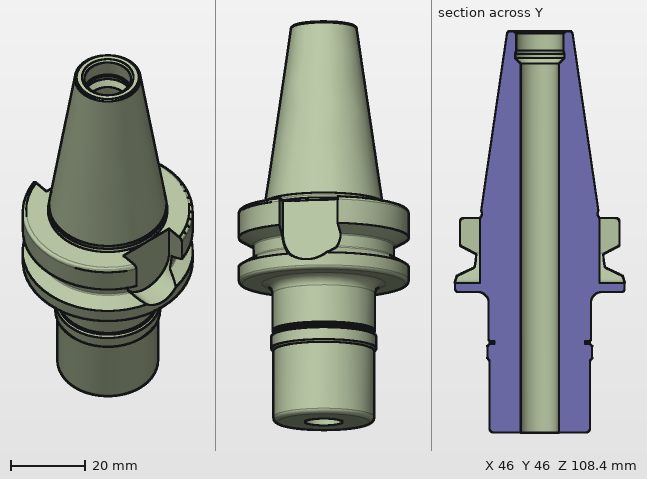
import cadquery as cq

TOTAL_LENGTH = 108.4
FLANGE_BOTTOM = 37.9
FLANGE_TOP = 58.0
GAUGE_HEIGHT = 60.0

GAUGE_RADIUS = 31.8 / 2
TAPER_PER_LENGTH = 7 / 24
TAPER_TIP_CHAMFER = 0.4
RELIEF_RADIUS = 15.7
RELIEF_TOP = 59.4
RELIEF_BOTTOM = 58.8
RELIEF_FOOT_RADIUS = 16.2

FLANGE_RADIUS = 23.0
FLANGE_EDGE_RADIUS = 1.0
GROOVE_RADIUS = 19.0
GROOVE_FLOOR_BOTTOM = 44.7
GROOVE_FLOOR_TOP = 48.2
GROOVE_FLANK_RISE = 2.3
GROOVE_FILLET = 0.4

SHANK_RADIUS = 13.9
SHANK_BOTTOM = 24.7
SHANK_CHAMFER = 0.3
SHANK_FILLET = 2.8
NECK_RADIUS = 12.2
RING_RADIUS = 14.2
RING_TOP = 24.1
RING_BOTTOM = 19.5
RING_CHAMFER = 0.7
NOSE_RADIUS = 13.7
NOSE_EDGE_RADIUS = 1.3

SLOT_WIDTH = 16.0
SLOT_FLOOR_X = 16.2
SLOT_BOTTOM = 40.5

BORE_RADIUS = 10.2 / 2
COUNTERBORE_RADIUS = 6.3
COUNTERBORE_DEPTH = 5.2
COUNTERBORE_CHAMFER = 0.7
UNDERCUT_RADIUS = 6.6
UNDERCUT_FLARE_LENGTH = 1.0
UNDERCUT_WALL_LENGTH = 1.1


def turned_body():
    """Outside of the holder, revolved from its half profile."""
    tip_radius = GAUGE_RADIUS - (TOTAL_LENGTH - GAUGE_HEIGHT) * TAPER_PER_LENGTH / 2
    chamfer_radius = tip_radius + TAPER_TIP_CHAMFER * TAPER_PER_LENGTH / 2
    profile = (
        cq.Workplane("XZ")
        .moveTo(0, 0)
        .lineTo(NOSE_RADIUS - NOSE_EDGE_RADIUS, 0)
        .radiusArc((NOSE_RADIUS, NOSE_EDGE_RADIUS), -NOSE_EDGE_RADIUS)
        .lineTo(NOSE_RADIUS, RING_BOTTOM)
        .lineTo(RING_RADIUS, RING_BOTTOM + RING_CHAMFER)
        .lineTo(RING_RADIUS, RING_TOP - RING_CHAMFER)
        .lineTo(RING_RADIUS - RING_CHAMFER, RING_TOP)
        .lineTo(NECK_RADIUS, RING_TOP)
        .lineTo(NECK_RADIUS, SHANK_BOTTOM)
        .lineTo(SHANK_RADIUS - SHANK_CHAMFER, SHANK_BOTTOM)
        .lineTo(SHANK_RADIUS, SHANK_BOTTOM + SHANK_CHAMFER)
        .lineTo(SHANK_RADIUS, FLANGE_BOTTOM - SHANK_FILLET)
        .radiusArc((SHANK_RADIUS + SHANK_FILLET, FLANGE_BOTTOM), SHANK_FILLET)
        .lineTo(FLANGE_RADIUS - FLANGE_EDGE_RADIUS, FLANGE_BOTTOM)
        .radiusArc((FLANGE_RADIUS, FLANGE_BOTTOM + FLANGE_EDGE_RADIUS), -FLANGE_EDGE_RADIUS)
        .lineTo(FLANGE_RADIUS, GROOVE_FLOOR_BOTTOM - GROOVE_FLANK_RISE)
        .lineTo(GROOVE_RADIUS, GROOVE_FLOOR_BOTTOM)
        .lineTo(GROOVE_RADIUS, GROOVE_FLOOR_TOP)
        .lineTo(FLANGE_RADIUS, GROOVE_FLOOR_TOP + GROOVE_FLANK_RISE)
        .lineTo(FLANGE_RADIUS, FLANGE_TOP - FLANGE_EDGE_RADIUS)
        .radiusArc((FLANGE_RADIUS - FLANGE_EDGE_RADIUS, FLANGE_TOP), -FLANGE_EDGE_RADIUS)
        .lineTo(RELIEF_FOOT_RADIUS, FLANGE_TOP)
        .lineTo(RELIEF_RADIUS, RELIEF_BOTTOM)
        .lineTo(RELIEF_RADIUS, RELIEF_TOP)
        .lineTo(GAUGE_RADIUS, GAUGE_HEIGHT)
        .lineTo(chamfer_radius, TOTAL_LENGTH - TAPER_TIP_CHAMFER)
        .lineTo(tip_radius - TAPER_TIP_CHAMFER, TOTAL_LENGTH)
        .lineTo(0, TOTAL_LENGTH)
        .close()
    )
    body = profile.revolve(360, (0, 0, 0), (0, 1, 0))
    groove_corners = cq.selectors.BoxSelector(
        (-GROOVE_FILLET, -GROOVE_FILLET, GROOVE_FLOOR_BOTTOM - GROOVE_FILLET),
        (GROOVE_FILLET, GROOVE_FILLET, GROOVE_FLOOR_TOP + GROOVE_FILLET),
    )
    return body.edges(groove_corners).fillet(GROOVE_FILLET)


def bore():
    """Through bore with a chamfered counterbore and a conical-ended undercut at the taper tip."""
    counterbore_end = TOTAL_LENGTH - COUNTERBORE_DEPTH
    undercut_top = counterbore_end - UNDERCUT_FLARE_LENGTH
    undercut_bottom = undercut_top - UNDERCUT_WALL_LENGTH
    cone_end = undercut_bottom - (UNDERCUT_RADIUS - BORE_RADIUS)
    profile = (
        cq.Workplane("XZ")
        .moveTo(0, 0)
        .lineTo(BORE_RADIUS, 0)
        .lineTo(BORE_RADIUS, cone_end)
        .lineTo(UNDERCUT_RADIUS, undercut_bottom)
        .lineTo(UNDERCUT_RADIUS, undercut_top)
        .lineTo(COUNTERBORE_RADIUS, counterbore_end)
        .lineTo(COUNTERBORE_RADIUS, TOTAL_LENGTH - COUNTERBORE_CHAMFER)
        .lineTo(COUNTERBORE_RADIUS + COUNTERBORE_CHAMFER, TOTAL_LENGTH)
        .lineTo(0, TOTAL_LENGTH)
        .close()
    )
    return profile.revolve(360, (0, 0, 0), (0, 1, 0))


def drive_slot(side):
    """Round-bottomed key slot, open at the flange top; side is +1 or -1 along X."""
    half_width = SLOT_WIDTH / 2
    arc_start = SLOT_BOTTOM + half_width
    return (
        cq.Workplane("YZ", origin=(side * SLOT_FLOOR_X, 0, 0))
        .moveTo(-half_width, FLANGE_TOP)
        .lineTo(-half_width, arc_start)
        .threePointArc((0, SLOT_BOTTOM), (half_width, arc_start))
        .lineTo(half_width, FLANGE_TOP)
        .close()
        .extrude(side * FLANGE_RADIUS)
    )


result = turned_body().cut(bore())
for side in (-1, 1):
    result = result.cut(drive_slot(side))